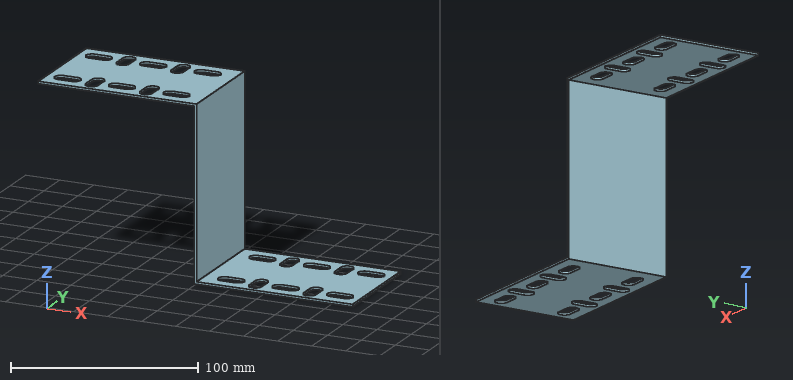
import cadquery as cq

length = 185.0
width = 62.0
height = 101.5
thickness = 1.5

slot_length = 15.0
slot_width = 7.0
slots_per_row = 5
row_length = 64.0
row_spacing = 40.0
end_margin = 12.4

slot_pitch = row_length / (slots_per_row - 1)
row_center_x = length / 2 - end_margin - row_length / 2


def plate(size_x, size_z, center_x, center_z):
    """Full-width flat plate."""
    return cq.Workplane("XY").box(size_x, width, size_z).translate((center_x, 0, center_z))


def slot_cutters(center_x, center_z):
    """Two rows of slots whose long axes alternate between X and Y."""
    cutters = cq.Workplane("XY")
    for row_y in (-row_spacing / 2, row_spacing / 2):
        for index in range(slots_per_row):
            slot_x = center_x - row_length / 2 + index * slot_pitch
            angle = 90 * (index % 2)
            slot = (
                cq.Workplane("XY")
                .center(slot_x, row_y)
                .slot2D(slot_length, slot_width, angle)
                .extrude(thickness, both=True)
                .translate((0, 0, center_z))
            )
            cutters = cutters.add(slot)
    return cutters.combine()


flange_length = (length + thickness) / 2
flange_center_x = (length - flange_length) / 2
flange_center_z = (height - thickness) / 2

result = plate(thickness, height, 0, 0)
for side in (-1, 1):
    result = result.union(plate(flange_length, thickness, side * flange_center_x, -side * flange_center_z))

for side in (-1, 1):
    result = result.cut(slot_cutters(side * row_center_x, -side * flange_center_z))